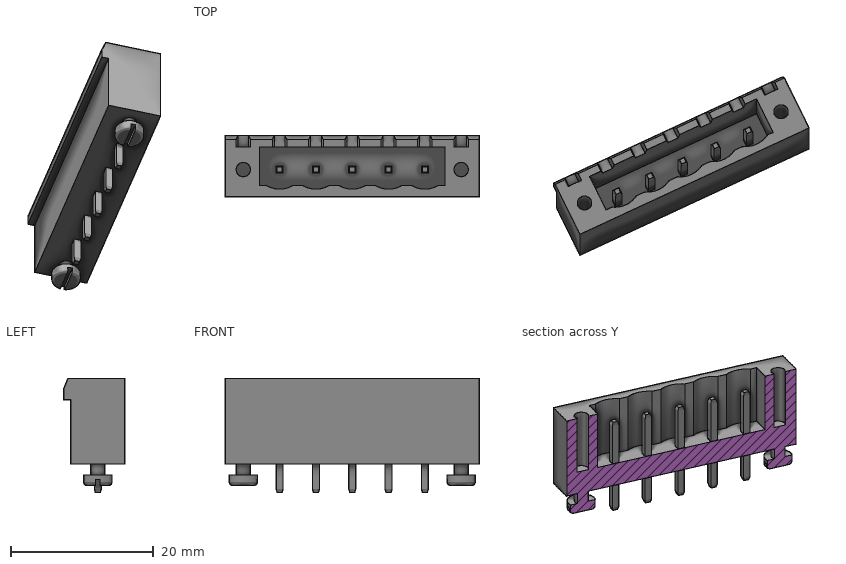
import cadquery as cq
import math


pitch = 5.08
pin_count = 5
row_half = pitch * (pin_count - 1) / 2
pin_positions = [-row_half + i * pitch for i in range(pin_count)]
screw_positions = [-row_half - pitch, row_half + pitch]
notch_positions = pin_positions + screw_positions

housing_length = 35.56
housing_height = 12.0
overall_depth = 8.6
front_y = -3.8
rear_y = front_y + overall_depth
lip_overhang = 1.0
lip_height = 3.0
chamfer_height = 1.5
chamfer_depth = 0.6

cavity_length = 25.9
cavity_front_y = -2.2
cavity_rear_y = 3.15
cavity_depth = 8.5
floor_z = housing_height - cavity_depth
scallop_radius = 3.5
scallop_sag = 0.54

notch_top_width = 2.05
notch_floor_width = 1.5
notch_depth = chamfer_height

pin_width = 1.0
pin_tip_width = 0.7
pin_tip_length = 0.5
pin_bottom_z = -4.0
pin_recess = 2.0
pin_top_z = housing_height - pin_recess

screw_diameter = 2.0
screw_hole_depth = cavity_depth
head_diameter = 4.0
head_top_z = -1.5
head_bottom_z = -3.0
head_fillet = 0.5
slot_width = 0.65
slot_depth = 0.85


def make_housing():
    """Extrude the end profile, with its chamfered rear lip, along X."""
    wall_y = rear_y - lip_overhang
    profile = [
        (front_y, 0),
        (wall_y, 0),
        (wall_y, housing_height - lip_height),
        (rear_y, housing_height - lip_height),
        (rear_y, housing_height - chamfer_height),
        (rear_y - chamfer_depth, housing_height),
        (front_y, housing_height),
    ]
    return cq.Workplane("YZ").polyline(profile).close().extrude(housing_length / 2, both=True)


def make_cavity():
    """Open pocket whose front wall bulges outward in an arc at each pin."""
    half_length = cavity_length / 2
    half_chord = math.sqrt(scallop_sag * (2 * scallop_radius - scallop_sag))
    outline = (
        cq.Workplane("XY", origin=(0, 0, floor_z))
        .moveTo(half_length, cavity_rear_y)
        .lineTo(-half_length, cavity_rear_y)
        .lineTo(-half_length, cavity_front_y)
    )
    for x in pin_positions:
        outline = outline.lineTo(x - half_chord, cavity_front_y)
        outline = outline.threePointArc((x, cavity_front_y - scallop_sag), (x + half_chord, cavity_front_y))
    return outline.lineTo(half_length, cavity_front_y).close().extrude(cavity_depth)


def make_notch(x):
    """Tapered notch from the cavity's rear plane out through the lip."""
    notch_floor_z = housing_height - notch_depth
    profile = [
        (x - notch_floor_width / 2, notch_floor_z),
        (x + notch_floor_width / 2, notch_floor_z),
        (x + notch_top_width / 2, housing_height),
        (x - notch_top_width / 2, housing_height),
    ]
    inner_plane = cq.Workplane("XZ", origin=(0, cavity_rear_y, 0))
    return inner_plane.polyline(profile).close().extrude(cavity_rear_y - rear_y)


def make_pin(x):
    """Square pin tapered at both ends."""
    shaft_bottom_z = pin_bottom_z + pin_tip_length
    shaft_top_z = pin_top_z - pin_tip_length
    shaft = (
        cq.Workplane("XY", origin=(x, 0, shaft_bottom_z))
        .rect(pin_width, pin_width)
        .extrude(shaft_top_z - shaft_bottom_z)
    )
    for face in ("<Z", ">Z"):
        tip = (
            shaft.faces(face)
            .workplane(origin=(x, 0, 0))
            .rect(pin_width, pin_width)
            .workplane(offset=pin_tip_length)
            .rect(pin_tip_width, pin_tip_width)
            .loft(combine=False)
        )
        shaft = shaft.union(tip)
    return shaft


def make_screw(x):
    """Screw below the housing, with a rounded head slotted along X."""
    neck = cq.Workplane("XY", origin=(x, 0, head_top_z)).circle(screw_diameter / 2).extrude(-head_top_z)
    head = (
        cq.Workplane("XY", origin=(x, 0, head_bottom_z))
        .circle(head_diameter / 2)
        .extrude(head_top_z - head_bottom_z)
        .faces("<Z")
        .edges()
        .fillet(head_fillet)
    )
    slot = (
        cq.Workplane("XY", origin=(x, 0, head_bottom_z))
        .rect(head_diameter, slot_width)
        .extrude(slot_depth)
    )
    return neck.union(head.cut(slot))


def make_screw_hole(x):
    """Blind hole in the top of the housing, in line with a screw."""
    return (
        cq.Workplane("XY", origin=(x, 0, housing_height - screw_hole_depth))
        .circle(screw_diameter / 2)
        .extrude(screw_hole_depth)
    )


result = make_housing().cut(make_cavity())
for x in notch_positions:
    result = result.cut(make_notch(x))
for x in pin_positions:
    result = result.union(make_pin(x))
for x in screw_positions:
    result = result.cut(make_screw_hole(x))
    result = result.union(make_screw(x))